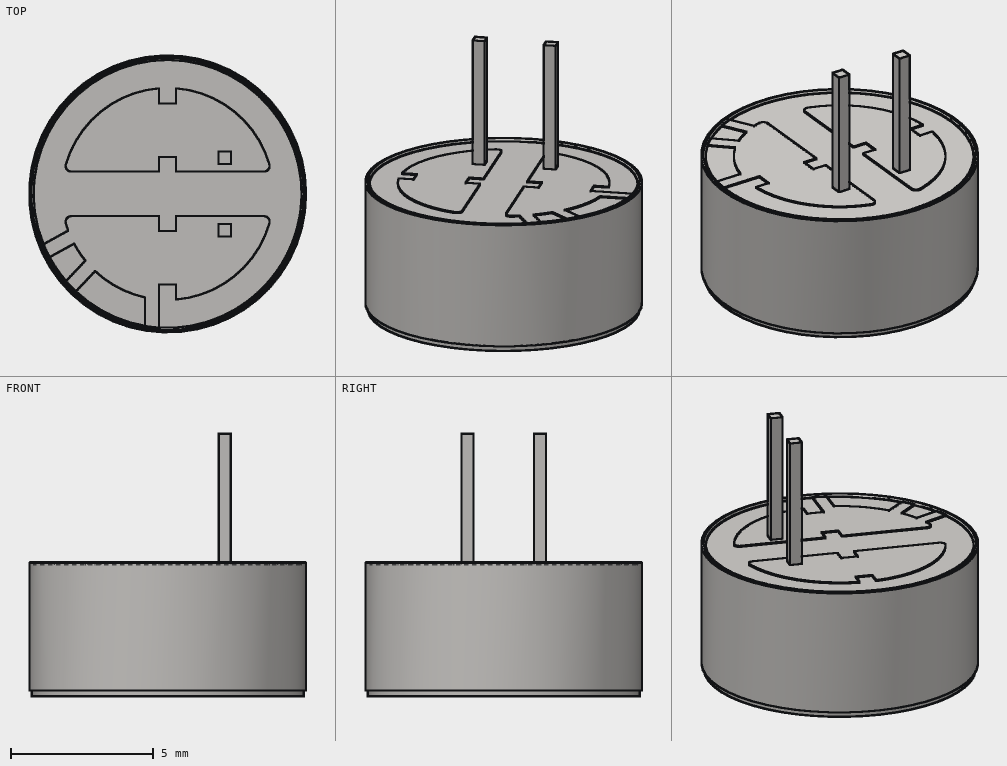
import cadquery as cq
import math

can_radius = 4.85
step_radius = 4.77
step_height = 0.2
can_top = 4.7

crest_radius = 4.77
rim_inner_radius = 4.69
rim_outer_drop = 0.035
rim_inner_drop = crest_radius - rim_inner_radius

board_top = 4.6
copper_thickness = 0.04

pad_radius = 3.71
pad_gap = 1.56
pad_corner_radius = 0.2
notch_width = 0.6
inner_notch_end = 1.3
outer_notch_end = 3.17

track_width = 0.5
tracks = [(208.8, -0.3), (226.5, -0.23), (270.0, -0.55)]

pin_side = 0.43
pin_x = 2.0
pin_pitch = 2.54
pin_top = 9.2


def crest_arc_middle(end_radius, drop):
    """Middle point of the arc that leaves the crest level and falls by drop at end_radius."""
    run = end_radius - crest_radius
    arc_radius = (run**2 + drop**2) / (2 * drop)
    half_angle = math.asin(abs(run) / arc_radius) / 2
    middle_run = math.copysign(arc_radius * math.sin(half_angle), run)
    return (crest_radius + middle_run, can_top - arc_radius * (1 - math.cos(half_angle)))


def make_body():
    """Solid of revolution: bottom step, can wall, crowned rim and recessed board."""
    return (
        cq.Workplane("XZ")
        .moveTo(0, 0)
        .lineTo(step_radius, 0)
        .lineTo(step_radius, step_height)
        .lineTo(can_radius, step_height)
        .lineTo(can_radius, can_top - rim_outer_drop)
        .threePointArc(crest_arc_middle(can_radius, rim_outer_drop), (crest_radius, can_top))
        .threePointArc(
            crest_arc_middle(rim_inner_radius, rim_inner_drop),
            (rim_inner_radius, can_top - rim_inner_drop),
        )
        .lineTo(rim_inner_radius, board_top)
        .lineTo(0, board_top)
        .close()
        .revolve(360, (0, 0, 0), (0, 1, 0))
    )


def make_notch(y_start, y_end):
    """Cutter for a pad notch centred on the Y axis."""
    return (
        cq.Workplane("XY", origin=(0, (y_start + y_end) / 2, board_top))
        .rect(notch_width, y_end - y_start)
        .extrude(copper_thickness)
    )


def make_pad():
    """Pad on the +Y side: a circular segment with rounded corners and two notches."""
    chord_y = pad_gap / 2
    chord_x = math.sqrt(pad_radius**2 - chord_y**2)
    pad = (
        cq.Workplane("XY", origin=(0, 0, board_top))
        .moveTo(-chord_x, chord_y)
        .lineTo(chord_x, chord_y)
        .threePointArc((0, pad_radius), (-chord_x, chord_y))
        .close()
        .extrude(copper_thickness)
        .edges("|Z")
        .fillet(pad_corner_radius)
    )
    inner_notch = make_notch(0, inner_notch_end)
    outer_notch = make_notch(outer_notch_end, can_radius)
    return pad.cut(inner_notch).cut(outer_notch)


def make_track(heading, offset):
    """Straight strip from the pad edge to the rim, shifted sideways from the part's axis."""
    track_start = pad_radius - track_width
    strip = (
        cq.Workplane("XY", origin=(0, 0, board_top))
        .moveTo(track_start, offset - track_width / 2)
        .lineTo(can_radius, offset - track_width / 2)
        .lineTo(can_radius, offset + track_width / 2)
        .lineTo(track_start, offset + track_width / 2)
        .close()
        .extrude(copper_thickness)
        .rotate((0, 0, 0), (0, 0, 1), heading)
    )
    rim_bore = cq.Workplane("XY", origin=(0, 0, board_top)).circle(rim_inner_radius).extrude(copper_thickness)
    return strip.intersect(rim_bore)


def make_pin(y):
    """Square pin standing on the board."""
    return (
        cq.Workplane("XY", origin=(pin_x, y, board_top))
        .rect(pin_side, pin_side)
        .extrude(pin_top - board_top)
    )


result = make_body()
upper_pad = make_pad()
result = result.union(upper_pad).union(upper_pad.mirror("XZ"))
for heading, offset in tracks:
    result = result.union(make_track(heading, offset))
for side in (-1, 1):
    result = result.union(make_pin(side * pin_pitch / 2))